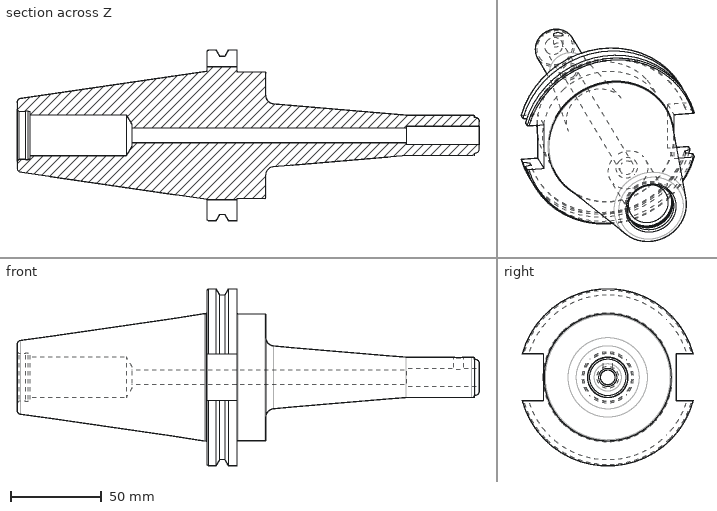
import cadquery as cq
import math

GAUGE_DIA = 69.85
TAPER_RATIO = 7 / 24
SHANK_LENGTH = 101.75
SHANK_END_FILLET = 2.2
SHANK_COLLAR_DIA = 70.2

FLANGE_DIA = 97.5
FLANGE_START = 2.5
FLANGE_END = 19.1
FLANGE_EDGE_CHAMFER = 0.8
GROOVE_CENTRE = 11.0
GROOVE_FLOOR_WIDTH = 2.8
GROOVE_DEPTH = 3.4
GROOVE_WALL_ANGLE = 30
FLANGE_ROOT_FILLET = 0.4

SLOT_WIDTH = 25.7
SLOT_FLOOR_FRONT = 35.4
SLOT_FLOOR_BACK = 37.7

COLLAR_DIA = 69.85
COLLAR_END = 35.0
COLLAR_EDGE_FILLET = 0.6
NECK_START_DIA = 35.4
NECK_FILLET = 4.5
NECK_END = 112.0
TIP_DIA = 22.35
OVERALL_LENGTH = 254.02
TIP_END = OVERALL_LENGTH - SHANK_LENGTH
TIP_TAPER_LENGTH = 1.55
TIP_SHOULDER_DIA = 21.97
TIP_BOSS_DIA = 20.0
TIP_BOSS_LENGTH = 2.7
TIP_BOSS_FILLET = 2.5

MOUTH_DIA = 28.2
COUNTERBORE_DIA = 26.2
COUNTERBORE_DEPTH = 7.0
RING_GROOVE_DIA = 26.7
RING_GROOVE_DEPTH = 4.7
RING_GROOVE_WIDTH = 1.3
DRAWBAR_BORE_DIA = 22.35
DRAWBAR_BORE_DEPTH = 60.0
POINT_END_DIA = 12.0
POINT_ANGLE = 118
COOLANT_DIA = 7.94
TOOL_BORE_DIA = 10.0
TOOL_BORE_DEPTH = 40.0

SCREW_HOLE_DIA = 5.36
SCREW_HOLE_FROM_TIP = 11.5


def make_body():
    """Revolve the outer profile about the X axis."""
    shank_radius = GAUGE_DIA / 2 - SHANK_LENGTH * TAPER_RATIO / 2
    collar_radius = SHANK_COLLAR_DIA / 2
    tip_shoulder = TIP_END - TIP_BOSS_LENGTH
    taper_end = (SHANK_COLLAR_DIA - GAUGE_DIA) / TAPER_RATIO
    profile = (
        cq.Workplane("XY")
        .moveTo(-SHANK_LENGTH, 0)
        .lineTo(-SHANK_LENGTH, shank_radius)
        .lineTo(taper_end, collar_radius)
        .lineTo(FLANGE_START, collar_radius)
        .lineTo(FLANGE_START, FLANGE_DIA / 2)
        .lineTo(FLANGE_END, FLANGE_DIA / 2)
        .lineTo(FLANGE_END, COLLAR_DIA / 2)
        .lineTo(COLLAR_END, COLLAR_DIA / 2)
        .lineTo(COLLAR_END, NECK_START_DIA / 2)
        .lineTo(NECK_END, TIP_DIA / 2)
        .lineTo(tip_shoulder - TIP_TAPER_LENGTH, TIP_DIA / 2)
        .lineTo(tip_shoulder, TIP_SHOULDER_DIA / 2)
        .lineTo(tip_shoulder, TIP_BOSS_DIA / 2)
        .lineTo(TIP_END, TIP_BOSS_DIA / 2)
        .lineTo(TIP_END, 0)
        .close()
    )
    body = profile.revolve(360, (0, 0, 0), (1, 0, 0))
    return round_body_edges(body, shank_radius)


def circle_at(body, x, radius):
    """Select the circular edge of the body at one axial position and radius."""
    margin = 0.01
    box = cq.selectors.BoxSelector(
        (x - margin, -radius - margin, -radius - margin),
        (x + margin, radius + margin, radius + margin),
        boundingbox=True,
    )
    return body.edges(box).edges(cq.selectors.RadiusNthSelector(-1))


def round_body_edges(body, shank_radius):
    """Fillet and chamfer the circular edges of the outer profile."""
    body = circle_at(body, -SHANK_LENGTH, shank_radius).fillet(SHANK_END_FILLET)
    body = circle_at(body, COLLAR_END, NECK_START_DIA / 2).fillet(NECK_FILLET)
    body = circle_at(body, COLLAR_END, COLLAR_DIA / 2).fillet(COLLAR_EDGE_FILLET)
    body = circle_at(body, FLANGE_START, SHANK_COLLAR_DIA / 2).fillet(FLANGE_ROOT_FILLET)
    body = circle_at(body, FLANGE_END, COLLAR_DIA / 2).fillet(FLANGE_ROOT_FILLET)
    body = circle_at(body, FLANGE_START, FLANGE_DIA / 2).chamfer(FLANGE_EDGE_CHAMFER)
    return circle_at(body, TIP_END, TIP_BOSS_DIA / 2).fillet(TIP_BOSS_FILLET)


def make_gripper_groove():
    """Ring with a trapezoid section that cuts the V groove into the flange rim."""
    rim_radius = FLANGE_DIA / 2
    floor_radius = rim_radius - GROOVE_DEPTH
    half_floor = GROOVE_FLOOR_WIDTH / 2
    half_mouth = half_floor + GROOVE_DEPTH * math.tan(math.radians(GROOVE_WALL_ANGLE))
    section = (
        cq.Workplane("XY")
        .moveTo(GROOVE_CENTRE - half_floor, floor_radius)
        .lineTo(GROOVE_CENTRE + half_floor, floor_radius)
        .lineTo(GROOVE_CENTRE + half_mouth, rim_radius)
        .lineTo(GROOVE_CENTRE - half_mouth, rim_radius)
        .close()
    )
    return section.revolve(360, (0, 0, 0), (1, 0, 0))


def make_drive_slot(side, floor_distance):
    """Box that cuts a drive slot through the flange on the +Y (1) or -Y (-1) side."""
    length = FLANGE_END - FLANGE_START
    depth = FLANGE_DIA / 2 - floor_distance
    middle_x = FLANGE_START + length / 2
    middle_y = side * (floor_distance + depth / 2)
    return cq.Workplane("XY").box(length, depth, SLOT_WIDTH).translate((middle_x, middle_y, 0))


def make_axial_bore():
    """Revolve the stepped bore that runs from the shank end to the tip."""
    bore_radius = DRAWBAR_BORE_DIA / 2
    point_radius = POINT_END_DIA / 2
    mouth_chamfer = (MOUTH_DIA - COUNTERBORE_DIA) / 2
    point_length = (bore_radius - point_radius) / math.tan(math.radians(POINT_ANGLE / 2))
    bore_end = -SHANK_LENGTH + DRAWBAR_BORE_DEPTH
    ring_groove_start = -SHANK_LENGTH + RING_GROOVE_DEPTH
    ring_groove_end = ring_groove_start + RING_GROOVE_WIDTH
    counterbore_end = -SHANK_LENGTH + COUNTERBORE_DEPTH
    tool_bore_start = TIP_END - TOOL_BORE_DEPTH
    profile = (
        cq.Workplane("XY")
        .moveTo(-SHANK_LENGTH, 0)
        .lineTo(-SHANK_LENGTH, MOUTH_DIA / 2)
        .lineTo(-SHANK_LENGTH + mouth_chamfer, COUNTERBORE_DIA / 2)
        .lineTo(ring_groove_start, COUNTERBORE_DIA / 2)
        .lineTo(ring_groove_start, RING_GROOVE_DIA / 2)
        .lineTo(ring_groove_end, RING_GROOVE_DIA / 2)
        .lineTo(ring_groove_end, COUNTERBORE_DIA / 2)
        .lineTo(counterbore_end, COUNTERBORE_DIA / 2)
        .lineTo(counterbore_end, bore_radius)
        .lineTo(bore_end, bore_radius)
        .lineTo(bore_end + point_length, point_radius)
        .lineTo(bore_end + point_length, COOLANT_DIA / 2)
        .lineTo(tool_bore_start, COOLANT_DIA / 2)
        .lineTo(tool_bore_start, TOOL_BORE_DIA / 2)
        .lineTo(TIP_END, TOOL_BORE_DIA / 2)
        .lineTo(TIP_END, 0)
        .close()
    )
    return profile.revolve(360, (0, 0, 0), (1, 0, 0))


def make_screw_hole():
    """Radial hole from the top of the tip down to the tool bore."""
    return (
        cq.Workplane("XY")
        .center(TIP_END - SCREW_HOLE_FROM_TIP, 0)
        .circle(SCREW_HOLE_DIA / 2)
        .extrude(TIP_DIA / 2)
    )


result = (
    make_body()
    .cut(make_gripper_groove())
    .cut(make_drive_slot(-1, SLOT_FLOOR_FRONT))
    .cut(make_drive_slot(1, SLOT_FLOOR_BACK))
    .cut(make_axial_bore())
    .cut(make_screw_hole())
)